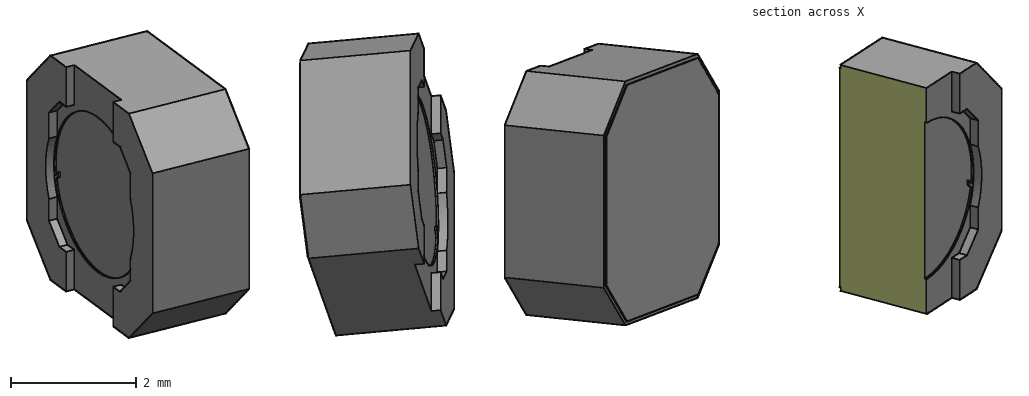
import cadquery as cq
import math

width = 3.98
depth = 1.81
corner_chamfer = 0.75

cover_thickness = 0.02
cover_inset = 0.06

recess_depth = 0.15
channel_width = 1.49
recess_width = 2.57
recess_chamfer = 0.325
round_recess_radius = 1.393
round_recess_z = -0.035

disc_radius = 1.375
disc_depth = 0.03

tab_width = 0.06
tab_angle = 42.0
tab_tip_radius = 1.258
tab_root_x = 1.355
tab_root_z = -0.255
tab_length = 0.32

front_y = -depth / 2
back_y = depth / 2
body_back_y = back_y - cover_thickness
recess_floor_y = front_y + recess_depth


def plane_at(y):
    """Plane at the given y with its normal toward +Y; local axes are +X and -Z."""
    return cq.Workplane(cq.Plane(origin=(0, y, 0), xDir=(1, 0, 0), normal=(0, 1, 0)))


def chamfered_square(size, chamfer, y, thickness):
    block = plane_at(y).rect(size, size).extrude(thickness)
    return block.edges("|Y").chamfer(chamfer)


def make_body():
    body = chamfered_square(width, corner_chamfer, front_y, body_back_y - front_y)
    cover_chamfer = corner_chamfer - cover_inset * (2 - math.sqrt(2))
    cover_width = width - 2 * cover_inset
    cover = chamfered_square(cover_width, cover_chamfer, body_back_y, cover_thickness)
    return body.union(cover)


def make_front_recess():
    channel = plane_at(front_y).rect(channel_width, width).extrude(recess_depth)
    square = chamfered_square(recess_width, recess_chamfer, front_y, recess_depth)
    round_part = plane_at(front_y).center(0, -round_recess_z).circle(round_recess_radius).extrude(recess_depth)
    return channel.union(square).union(round_part)


def make_tab(side):
    """Slanted tab rising toward the centre; side is -1 for left, +1 for right."""
    bar = (
        plane_at(recess_floor_y)
        .rect(2 * tab_length, tab_width)
        .extrude(disc_depth)
        .rotate((0, 0, 0), (0, 1, 0), side * tab_angle)
        .translate((side * tab_root_x, 0, tab_root_z))
    )
    tip_clearance = plane_at(recess_floor_y).circle(tab_tip_radius).extrude(disc_depth)
    return bar.cut(tip_clearance)


def make_disc_pocket():
    pocket = plane_at(recess_floor_y).circle(disc_radius).extrude(disc_depth)
    for side in (-1, 1):
        pocket = pocket.cut(make_tab(side))
    return pocket


result = make_body().cut(make_front_recess()).cut(make_disc_pocket())